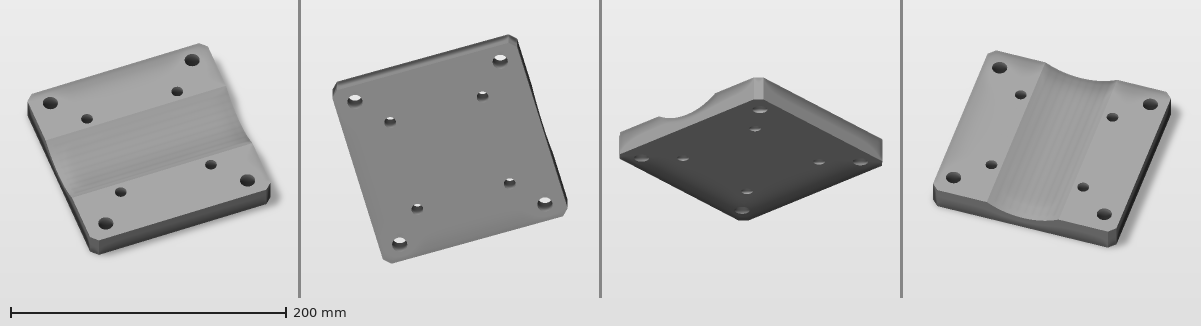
import cadquery as cq

side = 140.0
thickness = 18.0
corner_chamfer = 5.0

cradle_radius = 51.0
cradle_depth = 8.0

mount_diameter = 11.0
mount_spacing_x = 115.0
mount_spacing_y = 110.0

inner_diameter = 8.5
inner_spacing = 70.0


def make_plate():
    """Square plate resting on Z = 0, with its four vertical edges chamfered."""
    plate = cq.Workplane("XY").box(side, side, thickness, centered=(True, True, False))
    return plate.edges("|Z").chamfer(corner_chamfer)


def make_cradle_cutter():
    """Cylinder along Y whose lowest line lies cradle_depth below the top face."""
    axis_height = thickness - cradle_depth + cradle_radius
    return (
        cq.Workplane("XZ")
        .center(0, axis_height)
        .circle(cradle_radius)
        .extrude(side / 2, both=True)
    )


def drill_rectangle(body, spacing_x, spacing_y, diameter):
    """Drill four through holes at the corners of a centred rectangle."""
    drills = (
        cq.Workplane("XY")
        .rect(spacing_x, spacing_y, forConstruction=True)
        .vertices()
        .circle(diameter / 2)
        .extrude(thickness)
    )
    return body.cut(drills)


result = make_plate().cut(make_cradle_cutter())
result = drill_rectangle(result, mount_spacing_x, mount_spacing_y, mount_diameter)
result = drill_rectangle(result, inner_spacing, inner_spacing, inner_diameter)